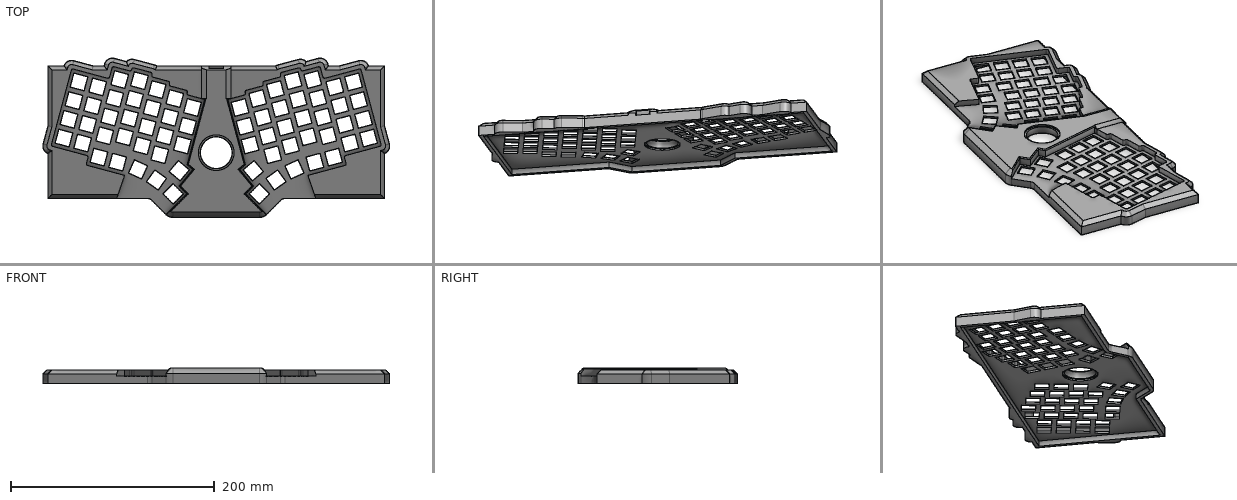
import cadquery as cq
import math

CASE_HALF_WIDTH = 165.15
CASE_BACK = 85.2
CASE_FRONT = -45.0
WING_TOP = 13.5
WING_CHAMFER = 4.0
PLATE_TOP = 7.5
PLATE_THICKNESS = 2.0
WALL = 4.0

HAND_ANGLE = 15.0
KEY_PITCH = 19.0
KEY_HOLE = 14.0
INNER_COLUMN = -34.0
POCKET_SIDE_MARGIN = 10.25
POCKET_END_MARGIN = 10.75
POCKET_CORNER_RADIUS = 1.75
BUMP_WALL = 8.05
COLUMNS = [(32.2, 4), (32.2, 4), (44.75, 4), (48.75, 4), (44.75, 4), (40.75, 4), (36.75, 3)]
BOTTOM_ROW_V = -34.0
BOTTOM_ROW_COLUMNS = (2, 3)

OUTER_THUMB_KEYS = [(-76.7, -16.4, 24.5), (-58.6, -26.8, 35.4)]
UPPER_THUMB_KEY = (-36.3, -17.7, 39.6)
LOWER_THUMB_KEY = (-42.3, -40.4, 45.0)

BODY_TOP = 15.5
BODY_FRONT = -63.57
BODY_CHAMFER = 5.3
BODY_EDGE_CHAMFER = 1.0
BODY_KEY_MARGIN = 9.5
SHOULDER_X = -65.0
SHOULDER_RADIUS = 6.0
FRONT_CORNER_RADIUS = 10.0
NECK_HALF_WIDTH = 9.7
NECK_BEVEL = 5.0
NECK_FRONT = 53.0
BALL_HOLE_DIAMETER = 31.0
BALL_LEDGE_WIDTH = 2.0
BALL_LEDGE_DEPTH = 1.5
BALL_RELIEF_TOP = 7.0

WING_INNER_BACK = (-89.4, -20.9)
WING_INNER_FRONT = (-97.3, -43.9)

NOTCH_WIDTH = 14.0
NOTCH_DEPTH = 2.5
NOTCH_FLOOR = 9.0


def column_u(index):
    return INNER_COLUMN - KEY_PITCH * (len(COLUMNS) - 1 - index)


def grid_to_case(u, v):
    """Turn a point of the key grid into case coordinates."""
    turn = math.radians(HAND_ANGLE)
    return (u * math.cos(turn) + v * math.sin(turn), v * math.cos(turn) - u * math.sin(turn))


def key_point(key, along, across):
    """Point of the case at an offset along and across a turned thumb key."""
    x, y, angle = key
    turn = math.radians(angle)
    return (
        x + along * math.cos(turn) + across * math.sin(turn),
        y - along * math.sin(turn) + across * math.cos(turn),
    )


def crossing(a, b, c, d):
    """Point where the line a-b meets the line c-d."""
    ab = (b[0] - a[0], b[1] - a[1])
    cd = (d[0] - c[0], d[1] - c[1])
    share = ((c[0] - a[0]) * cd[1] - (c[1] - a[1]) * cd[0]) / (ab[0] * cd[1] - ab[1] * cd[0])
    return (a[0] + share * ab[0], a[1] + share * ab[1])


def mirrored(left):
    return left.union(left.mirror("YZ"))


def prism(points, bottom, top):
    return cq.Workplane("XY").workplane(offset=bottom).polyline(points).close().extrude(top - bottom)


def pocket_outline():
    """Stepped outline around the keys of the left grid, in grid coordinates."""
    points = []
    left = column_u(0) - POCKET_SIDE_MARGIN
    for index, (top_v, _) in enumerate(COLUMNS):
        if index == 0:
            points.append((left, top_v + POCKET_END_MARGIN))
            continue
        previous = COLUMNS[index - 1][0]
        if top_v > previous:
            step_u = column_u(index) - POCKET_SIDE_MARGIN
        else:
            step_u = column_u(index - 1) + POCKET_SIDE_MARGIN
        if top_v != previous:
            points.append((step_u, previous + POCKET_END_MARGIN))
            points.append((step_u, top_v + POCKET_END_MARGIN))
    right = INNER_COLUMN + POCKET_SIDE_MARGIN
    row_left = column_u(BOTTOM_ROW_COLUMNS[0]) - POCKET_SIDE_MARGIN
    row_bottom = BOTTOM_ROW_V - POCKET_END_MARGIN
    first_top, first_count = COLUMNS[0]
    outer_bottom = first_top - KEY_PITCH * (first_count - 1) - POCKET_END_MARGIN
    points += [
        (right, COLUMNS[-1][0] + POCKET_END_MARGIN),
        (right, row_bottom),
        (row_left, row_bottom),
        (row_left, outer_bottom),
        (left, outer_bottom),
    ]
    return points


def case_outline():
    """Base outline of the case without the bumps."""
    front_corner_x = SHOULDER_X + CASE_FRONT - BODY_FRONT
    left = [
        (0, CASE_BACK),
        (-CASE_HALF_WIDTH, CASE_BACK),
        (-CASE_HALF_WIDTH, CASE_FRONT),
        (SHOULDER_X, CASE_FRONT),
        (front_corner_x, BODY_FRONT),
        (0, BODY_FRONT),
    ]
    right = [(-x, y) for x, y in reversed(left[1:-1])]
    return left + right


def rounded_case(height):
    case = prism(case_outline(), 0, height)
    shoulders = cq.selectors.BoxSelector(
        (SHOULDER_X - 1, CASE_FRONT - 1, 0), (1 - SHOULDER_X, CASE_FRONT + 1, height)
    )
    case = case.edges("|Z").edges(shoulders).fillet(SHOULDER_RADIUS)
    return case.edges("|Z").edges("<Y").fillet(FRONT_CORNER_RADIUS)


def bump_block():
    """Left grid pocket outline grown by the wall around it, chamfered on top."""
    block = cq.Workplane("XY").polyline(pocket_outline()).close().offset2D(BUMP_WALL).extrude(WING_TOP)
    return block.faces(">Z").chamfer(WING_CHAMFER).rotate((0, 0, 0), (0, 0, 1), -HAND_ANGLE)


def wing_block():
    width = 2 * CASE_HALF_WIDTH
    depth = CASE_BACK - CASE_FRONT
    middle = (CASE_BACK + CASE_FRONT) / 2
    block = cq.Workplane("XY").center(0, middle).rect(width, depth).extrude(WING_TOP)
    return block.faces(">Z").chamfer(WING_CHAMFER)


def key_pocket():
    """Space above the plate of the left hand, open to the front beside the thumb keys."""
    height = BODY_TOP - PLATE_TOP
    grid = cq.Workplane("XY").workplane(offset=PLATE_TOP).polyline(pocket_outline()).close().extrude(height)
    grid = grid.edges("|Z").fillet(POCKET_CORNER_RADIUS).rotate((0, 0, 0), (0, 0, 1), -HAND_ANGLE)
    beyond = crossing(WING_INNER_BACK, WING_INNER_FRONT, (0, BODY_FRONT), (1, BODY_FRONT))
    thumb = [WING_INNER_BACK, beyond, (0, BODY_FRONT), (0, 0), grid_to_case(INNER_COLUMN, 0)]
    return grid.union(prism(thumb, PLATE_TOP, BODY_TOP))


def body_left_points():
    """Left side of the raised body from its back to its front."""
    wall_u = INNER_COLUMN + BODY_KEY_MARGIN
    wall = (grid_to_case(wall_u, 0), grid_to_case(wall_u, 1))
    margin = BODY_KEY_MARGIN
    upper = UPPER_THUMB_KEY
    lower = LOWER_THUMB_KEY
    upper_back = (key_point(upper, 0, margin), key_point(upper, margin, margin))
    upper_side = (key_point(upper, margin, margin), key_point(upper, margin, 0))
    lower_back = (key_point(lower, 0, margin), key_point(lower, margin, margin))
    lower_side = (key_point(lower, margin, margin), key_point(lower, margin, 0))
    front = ((0, BODY_FRONT), (1, BODY_FRONT))
    neck_end = ((0, NECK_FRONT), (1, NECK_FRONT))
    return [
        crossing(*neck_end, *wall),
        crossing(*wall, *upper_back),
        upper_back[1],
        crossing(*upper_side, *lower_back),
        lower_back[1],
        crossing(*lower_side, *front),
    ]


def raised_body():
    left = body_left_points()
    right = [(-x, y) for x, y in reversed(left)]
    body = prism(left + right, 0, BODY_TOP)
    key_side = cq.selectors.BoxSelector(
        (-CASE_HALF_WIDTH, BODY_FRONT + BODY_EDGE_CHAMFER, 0),
        (CASE_HALF_WIDTH, NECK_FRONT - 1, BODY_TOP + 1),
    )
    body = body.faces(">Z").edges(key_side).chamfer(BODY_EDGE_CHAMFER)
    envelope = rounded_case(BODY_TOP)
    chamfered = envelope.faces(">Z").edges("<Y").chamfer(BODY_CHAMFER)
    return body.intersect(chamfered)


def neck():
    """Bar with sloping sides that joins the raised body to the back of the case."""
    foot = NECK_HALF_WIDTH + NECK_BEVEL
    length = CASE_BACK - NECK_FRONT
    profile = [
        (-foot, 0),
        (-foot, WING_TOP),
        (-NECK_HALF_WIDTH, BODY_TOP),
        (NECK_HALF_WIDTH, BODY_TOP),
        (foot, WING_TOP),
        (foot, 0),
    ]
    bar = cq.Workplane("XZ", origin=(0, CASE_BACK, 0)).polyline(profile).close().extrude(length)
    return bar.faces(">Y").edges(">Z").chamfer(WING_CHAMFER)


def key_holes():
    """Square switch holes of the left hand."""
    keys = OUTER_THUMB_KEYS + [UPPER_THUMB_KEY, LOWER_THUMB_KEY]
    for index, (top_v, count) in enumerate(COLUMNS):
        for row in range(count):
            keys.append((*grid_to_case(column_u(index), top_v - KEY_PITCH * row), HAND_ANGLE))
    for index in BOTTOM_ROW_COLUMNS:
        keys.append((*grid_to_case(column_u(index), BOTTOM_ROW_V), HAND_ANGLE))
    cutters = [
        cq.Workplane("XY")
        .rect(KEY_HOLE, KEY_HOLE)
        .extrude(PLATE_TOP)
        .rotate((0, 0, 0), (0, 0, 1), -angle)
        .translate((x, y, 0))
        .val()
        for x, y, angle in keys
    ]
    return cq.Workplane(cq.Compound.makeCompound(cutters))


def ball_hole():
    """Trackball hole with a ledge around its rim and a relief below."""
    radius = BALL_HOLE_DIAMETER / 2
    hole = cq.Workplane("XY").circle(radius).extrude(BODY_TOP)
    wide = radius + BALL_LEDGE_WIDTH
    ledge = cq.Workplane("XY").workplane(offset=BODY_TOP - BALL_LEDGE_DEPTH)
    relief = cq.Workplane("XY").circle(wide).extrude(BALL_RELIEF_TOP)
    return hole.union(ledge.circle(wide).extrude(BALL_LEDGE_DEPTH)).union(relief)


def cavity():
    """Hollow under the plate, open at the bottom."""
    height = PLATE_TOP - PLATE_THICKNESS
    return cq.Workplane("XY").polyline(case_outline()).close().offset2D(-WALL, "intersection").extrude(height)


def cable_notch():
    notch = cq.Workplane("XY").box(NOTCH_WIDTH, 2 * NOTCH_DEPTH, BODY_TOP, centered=(True, True, False))
    return notch.translate((0, CASE_BACK, NOTCH_FLOOR))


wings = wing_block().union(mirrored(bump_block())).cut(mirrored(key_pocket()))
result = rounded_case(PLATE_TOP).union(wings).union(raised_body()).union(neck())
result = result.cut(cavity()).cut(mirrored(key_holes())).cut(ball_hole()).cut(cable_notch())